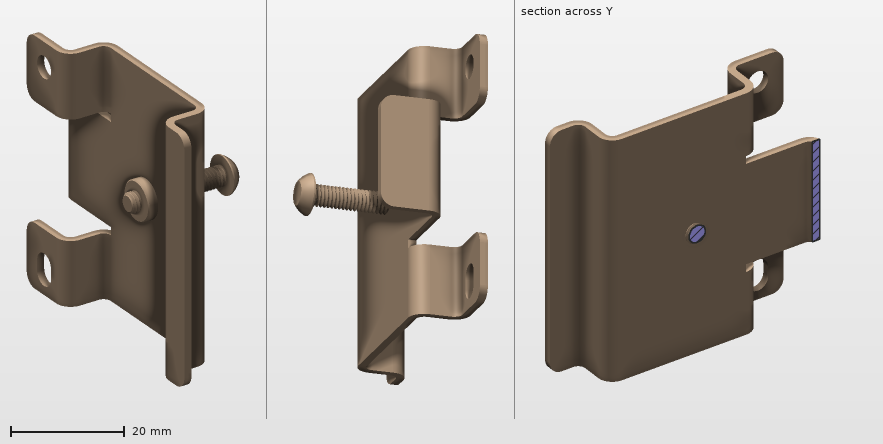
import cadquery as cq
import math

WIDTH = 50.0
HEIGHT = 50.0
THICKNESS = 1.5
BEND_RADIUS = 3.0
CORNER_RADIUS = 2.5
RISE = 10.0
LEFT_LEG_X = -14.1
RIGHT_LEG_X = 18.5
OVERLAP = 0.2

EAR_HEIGHT = 13.0
RELIEF_GAP = 1.6
TAB_REACH = 26.64
TAB_LENGTH = 12.0

HOLE_DIAMETER = 4.4
HOLE_EDGE_X = 5.5
HOLE_EDGE_Z = 5.0
SLOT_LENGTH = 6.4

NUT_DIAMETER = 7.9
NUT_HEIGHT = 2.0
NUT_CHAMFER = 0.2

SCREW_DIAMETER = 4.0
SCREW_LENGTH = 20.0
SCREW_PITCH = 0.7
THREAD_DEPTH = 0.43
GROOVE_FLOOR = SCREW_PITCH / 8
GROOVE_MOUTH = SCREW_PITCH * 7 / 8
GROOVE_OVERLAP = 0.05
SCREW_TIP_Y = 4.6
TIP_CHAMFER = 0.5
HEAD_DIAMETER = 7.6
HEAD_TOP_DIAMETER = 4.4
HEAD_HEIGHT = 2.2
HEAD_RIM = 0.3
HEAD_BULGE = 0.17

left_edge = -WIDTH / 2
right_edge = WIDTH / 2
plate_near = RISE - THICKNESS
plate_far = RISE
tab_half_height = HEIGHT / 2 - EAR_HEIGHT - RELIEF_GAP
relief_end_x = LEFT_LEG_X + BEND_RADIUS
inner_radius = BEND_RADIUS - THICKNESS


def rounded_bends(outline, z_bottom, height, outside, inside):
    """Extrude a square-cornered sheet outline and round its listed corners."""
    z_middle = z_bottom + height / 2
    strip = cq.Workplane("XY", origin=(0, 0, z_bottom)).polyline(outline).close().extrude(height)
    for corners, radius in ((outside, BEND_RADIUS), (inside, inner_radius)):
        for x, y in corners:
            corner = cq.selectors.NearestToPointSelector((x, y, z_middle))
            strip = strip.edges("|Z").edges(corner).fillet(radius)
    return strip


def hat_section():
    """Plate, both legs and both mounting flanges, with the space between the ears cut out."""
    left_inner = LEFT_LEG_X + THICKNESS
    right_inner = RIGHT_LEG_X - THICKNESS
    outline = [
        (left_edge, 0),
        (left_inner, 0),
        (left_inner, plate_near),
        (right_inner, plate_near),
        (right_inner, 0),
        (right_edge, 0),
        (right_edge, THICKNESS),
        (RIGHT_LEG_X, THICKNESS),
        (RIGHT_LEG_X, plate_far),
        (LEFT_LEG_X, plate_far),
        (LEFT_LEG_X, THICKNESS),
        (left_edge, THICKNESS),
    ]
    outside = [
        (left_inner, 0),
        (right_inner, 0),
        (RIGHT_LEG_X, plate_far),
        (LEFT_LEG_X, plate_far),
    ]
    inside = [
        (left_inner, plate_near),
        (right_inner, plate_near),
        (RIGHT_LEG_X, THICKNESS),
        (LEFT_LEG_X, THICKNESS),
    ]
    hat = rounded_bends(outline, -HEIGHT / 2, HEIGHT, outside, inside)
    hat = hat.cut(relief_cutout())
    return hat.edges("|Y").edges("<X or >X").fillet(CORNER_RADIUS)


def relief_cutout():
    """Space between the two ears, cut back to the start of the plate."""
    cutout_height = 2 * (tab_half_height + RELIEF_GAP)
    cutout_width = relief_end_x - left_edge + OVERLAP
    cutout_depth = RISE + 2 * OVERLAP
    center = (relief_end_x - cutout_width / 2, RISE / 2, 0)
    return cq.Workplane("XY").box(cutout_width, cutout_depth, cutout_height).translate(center)


def tab():
    """L-shaped tab reaching left from the plate and bending away from the flanges."""
    tab_left = -TAB_REACH
    tab_right = tab_left + THICKNESS
    tip = plate_near + TAB_LENGTH
    outline = [
        (tab_left, plate_near),
        (relief_end_x, plate_near),
        (relief_end_x, plate_far),
        (tab_right, plate_far),
        (tab_right, tip),
        (tab_left, tip),
    ]
    outside = [(tab_left, plate_near)]
    inside = [(tab_right, plate_far)]
    body = rounded_bends(outline, -tab_half_height, 2 * tab_half_height, outside, inside)
    return body.faces(">Y").edges("|X").fillet(CORNER_RADIUS)


def ear_holes():
    """Round hole in the upper ear and upright slot in the lower ear."""
    hole_x = left_edge + HOLE_EDGE_X
    hole_z = HEIGHT / 2 - HOLE_EDGE_Z
    face = cq.Workplane("XZ")
    hole = face.center(hole_x, hole_z).circle(HOLE_DIAMETER / 2)
    hole = hole.extrude(THICKNESS + OVERLAP, both=True)
    slot = face.center(hole_x, -hole_z).slot2D(SLOT_LENGTH, HOLE_DIAMETER, 90)
    slot = slot.extrude(THICKNESS + OVERLAP, both=True)
    return hole.union(slot)


def nut():
    """Round nut standing on the near face of the plate, its outer rim chamfered."""
    blank = cq.Workplane("XZ", origin=(0, plate_near + OVERLAP, 0)).circle(NUT_DIAMETER / 2)
    return blank.extrude(NUT_HEIGHT + OVERLAP).faces("<Y").chamfer(NUT_CHAMFER)


def screw_head():
    """Domed head with a short cylindrical rim and a flat top."""
    under = SCREW_TIP_Y + SCREW_LENGTH
    rim_top = under + HEAD_RIM
    top = under + HEAD_HEIGHT
    rim = HEAD_DIAMETER / 2
    crown = HEAD_TOP_DIAMETER / 2
    run = rim - crown
    climb = top - rim_top
    slope = math.hypot(run, climb)
    dome_middle = (
        (rim + crown) / 2 + HEAD_BULGE * climb / slope,
        (rim_top + top) / 2 + HEAD_BULGE * run / slope,
    )
    profile = (
        cq.Workplane("XY")
        .moveTo(0, under)
        .lineTo(rim, under)
        .lineTo(rim, rim_top)
        .threePointArc(dome_middle, (crown, top))
        .lineTo(0, top)
        .close()
    )
    return profile.revolve(360, (0, 0, 0), (0, 1, 0))


def thread_groove():
    """Helical V groove around Z, running out past both ends of the shank."""
    crest = SCREW_DIAMETER / 2
    root = crest - THREAD_DEPTH
    outer = crest + GROOVE_OVERLAP
    floor = GROOVE_FLOOR / 2
    mouth = GROOVE_MOUTH / 2
    outer_mouth = mouth + GROOVE_OVERLAP * (mouth - floor) / THREAD_DEPTH
    start = -SCREW_PITCH / 2
    path = cq.Wire.makeHelix(SCREW_PITCH, SCREW_LENGTH + SCREW_PITCH, root, cq.Vector(0, 0, start))
    outline = [
        (root, start - floor),
        (outer, start - outer_mouth),
        (outer, start + outer_mouth),
        (root, start + floor),
    ]
    return cq.Workplane("XZ").polyline(outline).close().sweep(cq.Workplane(path), isFrenet=True)


def threaded_shank():
    """Shank with a bevelled tip and a right-hand thread along its whole length."""
    shank = cq.Workplane("XY").circle(SCREW_DIAMETER / 2).extrude(SCREW_LENGTH)
    shank = shank.faces("<Z").chamfer(TIP_CHAMFER).cut(thread_groove())
    return shank.rotate((0, 0, 0), (1, 0, 0), -90).translate((0, SCREW_TIP_Y, 0))


bracket = hat_section().union(tab()).cut(ear_holes())
result = bracket.union(nut()).union(threaded_shank()).union(screw_head())